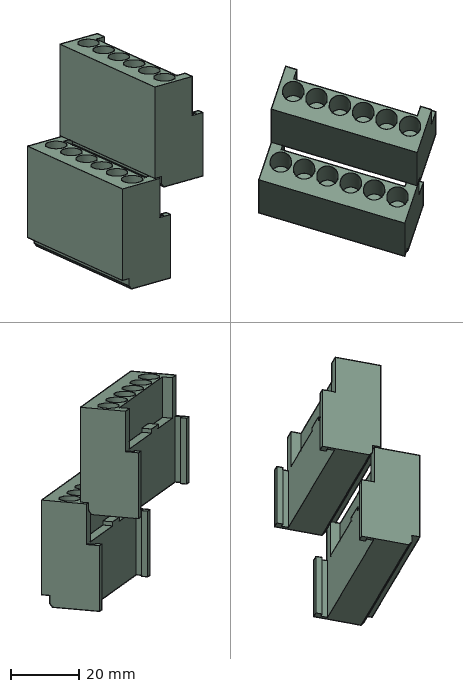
import cadquery as cq

width = 45.0
total_depth = 30.2
total_height = 61.5

block_height = 32.3
block_depth = 18.1
hook_reach = 4.0
core_depth = block_depth - hook_reach
hook_drop = 12.3
hook_top = block_height - hook_drop

undercut_height = 3.5
undercut_depth = 2.5
bevel_depth = 0.9
bevel_height = 1.15

plate_thickness = 1.0
lip_width = 2.15
lip_thickness = 1.9

well_count = 6
well_pitch = 7.2
well_diameter = 6.3
well_from_front = 7.2
well_depth = hook_drop

recess_margin = 3.45
recess_depth = 3.1
recess_drop = hook_drop
key_width = 5.9
key_height = 1.2
key_well = 2

upper_shift_y = total_depth - block_depth
upper_shift_z = total_height - block_height


def well_x(index):
    return (index - (well_count - 1) / 2) * well_pitch


def box(x_min, x_max, y_min, y_max, z_min, z_max):
    return (
        cq.Workplane("XY")
        .box(x_max - x_min, y_max - y_min, z_max - z_min, centered=False)
        .translate((x_min, y_min, z_min))
    )


def make_core():
    """Full-width body with the bevelled undercut at its lower front edge."""
    side_profile = [
        (0, undercut_height),
        (undercut_depth, undercut_height),
        (undercut_depth, bevel_height),
        (undercut_depth + bevel_depth, 0),
        (core_depth, 0),
        (core_depth, block_height),
        (0, block_height),
    ]
    return cq.Workplane("YZ").polyline(side_profile).close().extrude(width / 2, both=True)


def make_hooks():
    """Left and right L-shaped plates whose lips turn inward."""
    outer = -width / 2
    plate = box(outer, outer + plate_thickness, core_depth, block_depth, 0, hook_top)
    lip = box(outer, outer + lip_width, block_depth - lip_thickness, block_depth, 0, hook_top)
    left_hook = plate.union(lip)
    return left_hook, left_hook.mirror("YZ")


def make_recess():
    """Volume removed at the back of the top, leaving the key on the floor."""
    half_length = width / 2 - recess_margin
    front = core_depth - recess_depth
    floor = block_height - recess_drop
    key_x = well_x(key_well)
    recess = box(-half_length, half_length, front, core_depth, floor, block_height)
    key = box(key_x - key_width / 2, key_x + key_width / 2, front, core_depth, floor, floor + key_height)
    return recess.cut(key)


def make_wells():
    centers = [(well_x(index), well_from_front) for index in range(well_count)]
    return (
        cq.Workplane("XY", origin=(0, 0, block_height))
        .pushPoints(centers)
        .circle(well_diameter / 2)
        .extrude(-well_depth)
    )


def make_terminal_block():
    block = make_core()
    for hook in make_hooks():
        block = block.union(hook)
    return block.cut(make_recess()).cut(make_wells())


block_count = 2
terminal_blocks = [
    make_terminal_block().translate((0, level * upper_shift_y, level * upper_shift_z))
    for level in range(block_count)
]

result = cq.Compound.makeCompound([block.solids().val() for block in terminal_blocks])